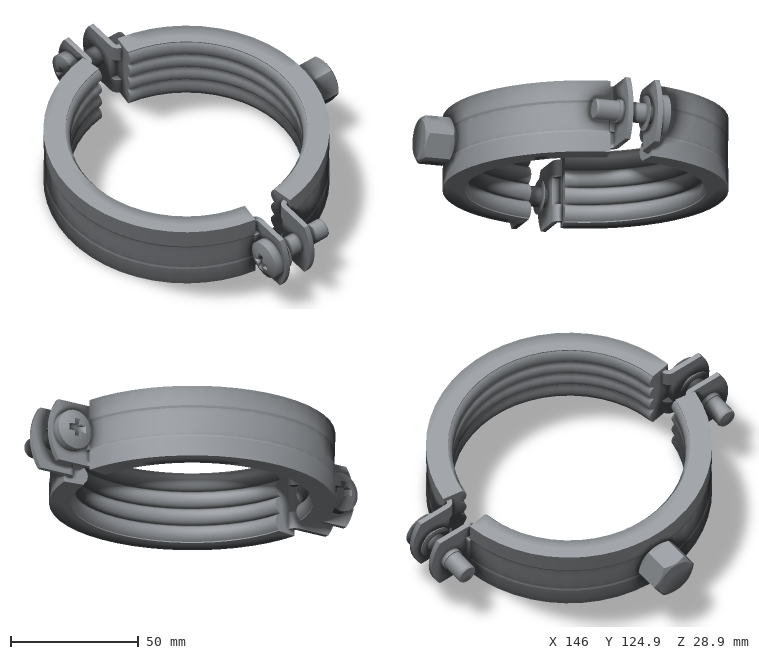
import cadquery as cq
import math


ring_width = 28.9
ring_outer_radius = 56.0
lip_step = 0.3
band_half_width = 5.5
band_edge_half_width = 6.4
rib_count = 4
rib_tip_radius = 45.7
rib_valley_radius = 48.2
ring_edge_radius = 47.5
rib_pitch = 7.0
ring_end_angle = 8.8

ear_gap = 10.1
ear_thickness = 2.0
ear_width = 25.0
ear_reach = 73.0
ear_tip_radius = 21.8
bend_center_x = 55.3
bend_radius = 3.4
strap_tail = 1.5

bead_width = 12.8
bead_outer_x = 56.2
bead_height = 2.0
bead_wall = 1.2
bead_recess_width = 11.1

screw_x = 64.0
screw_diameter = 8.0
screw_end_y = 18.2
screw_tip_diameter = 7.5
screw_tip_length = 0.7
head_diameter = 15.8
head_side_height = 3.8
head_height = 6.0
collar_diameter = 9.0
collar_height = 1.8
ear_hole_diameter = 8.6
washer_diameter = 14.0
washer_thickness = 0.3
washer_y = -2.6

recess_length = 9.0
recess_floor = 3.8
recess_corner_chamfer = 0.6
recess_arm_width = 2.8
recess_depth = 2.6

nut_across_flats = 17.1
nut_end_y = 68.9
nut_base_y = 56.5
nut_face_diameter = 15.9
nut_chamfer_height = 1.3
neck_diameter = 12.8

ear_inner_y = ear_gap / 2
ear_outer_y = ear_inner_y + ear_thickness
bend_center_y = ear_inner_y + bend_radius
ring_half_width = ring_width / 2


def cylinder_y(x, y_start, y_end, diameter):
    """Cylinder along Y, centred on Z = 0."""
    length = y_end - y_start
    start = cq.Vector(x, y_start, 0)
    return cq.Workplane(cq.Solid.makeCylinder(diameter / 2, length, start, cq.Vector(0, 1, 0)))


def ring_half():
    """Ribbed ring section revolved over the +Y half, short of the XZ plane at both ends."""
    band_radius = ring_outer_radius - lip_step
    rib_edge = rib_count * rib_pitch / 2
    profile = (
        cq.Workplane("XZ")
        .moveTo(ring_edge_radius, ring_half_width)
        .lineTo(ring_outer_radius, ring_half_width)
        .lineTo(ring_outer_radius, band_edge_half_width)
        .lineTo(band_radius, band_half_width)
        .lineTo(band_radius, -band_half_width)
        .lineTo(ring_outer_radius, -band_edge_half_width)
        .lineTo(ring_outer_radius, -ring_half_width)
        .lineTo(ring_edge_radius, -ring_half_width)
        .lineTo(ring_edge_radius, -rib_edge)
    )
    for index in range(rib_count):
        rib_start = -rib_edge + index * rib_pitch
        is_last_rib = index == rib_count - 1
        end_radius = ring_edge_radius if is_last_rib else rib_valley_radius
        profile = profile.threePointArc(
            (rib_tip_radius, rib_start + rib_pitch / 2),
            (end_radius, rib_start + rib_pitch),
        )
    sweep_angle = 180 - 2 * ring_end_angle
    half = profile.close().revolve(sweep_angle, (0, 0, 0), (0, 1, 0))
    return half.rotate((0, 0, 0), (0, 0, 1), ring_end_angle)


def ear():
    """Ear on the +X, +Y side: flat tab, rounded bend and a tail that enters the ring."""
    inner_bend_radius = bend_radius - ear_thickness
    tail_end_y = bend_center_y + strap_tail
    diagonal = math.sqrt(0.5)
    strap = (
        cq.Workplane("XY")
        .workplane(offset=-ear_width / 2)
        .moveTo(ear_reach, ear_inner_y)
        .lineTo(ear_reach, ear_outer_y)
        .lineTo(bend_center_x, ear_outer_y)
        .threePointArc(
            (bend_center_x - inner_bend_radius * diagonal, bend_center_y - inner_bend_radius * diagonal),
            (bend_center_x - inner_bend_radius, bend_center_y),
        )
        .lineTo(bend_center_x - inner_bend_radius, tail_end_y)
        .lineTo(bend_center_x - bend_radius, tail_end_y)
        .lineTo(bend_center_x - bend_radius, bend_center_y)
        .threePointArc(
            (bend_center_x - bend_radius * diagonal, bend_center_y - bend_radius * diagonal),
            (bend_center_x, ear_inner_y),
        )
        .close()
        .extrude(ear_width)
    )
    tip = cylinder_y(ear_reach - ear_tip_radius, 0, tail_end_y, 2 * ear_tip_radius)
    strap = strap.intersect(tip)

    bead_inner_x = bend_center_x - inner_bend_radius
    bead = cq.Workplane("XY").box(
        bead_outer_x - bead_inner_x, bead_height, bead_width, centered=(False, False, True)
    ).translate((bead_inner_x, ear_outer_y, 0))

    recess_length_x = 2 * bend_radius
    recess_length_y = ear_thickness + bead_height - bead_wall
    recess = cq.Workplane("XY").box(
        recess_length_x, recess_length_y, bead_recess_width, centered=(False, False, True)
    ).translate((bead_outer_x - bead_wall - recess_length_x, ear_inner_y, 0))
    return strap.union(bead).cut(recess)


def head_recess():
    """Cross recess with sloping arm ends around a chamfered square core."""
    top_y = -ear_outer_y - head_height
    floor_y = top_y + recess_depth
    arm = (
        cq.Workplane("XY")
        .workplane(offset=-recess_arm_width / 2)
        .polyline([
            (-recess_length / 2, top_y),
            (recess_length / 2, top_y),
            (recess_floor / 2, floor_y),
            (-recess_floor / 2, floor_y),
        ])
        .close()
        .extrude(recess_arm_width)
    )
    core = (
        cq.Workplane("XY")
        .box(recess_floor, recess_depth, recess_floor)
        .edges("|Y")
        .chamfer(recess_corner_chamfer)
        .translate((0, top_y + recess_depth / 2, 0))
    )
    crossing_arm = arm.rotate((0, 0, 0), (0, 1, 0), 90)
    return arm.union(crossing_arm).union(core)


def screw():
    """Pan-head screw along Y with its washer and threaded collar, centred on X = 0."""
    head_radius = head_diameter / 2
    rim_y = -ear_outer_y - head_side_height
    top_y = -ear_outer_y - head_height
    dome_height = head_height - head_side_height
    dome_radius = (head_radius**2 + dome_height**2) / (2 * dome_height)
    mid_radius = head_radius / 2
    mid_y = top_y + dome_radius - math.sqrt(dome_radius**2 - mid_radius**2)
    head = (
        cq.Workplane("XY")
        .moveTo(0, -ear_outer_y)
        .lineTo(head_radius, -ear_outer_y)
        .lineTo(head_radius, rim_y)
        .threePointArc((mid_radius, mid_y), (0, top_y))
        .close()
        .revolve(360, (0, 0, 0), (0, 1, 0))
        .cut(head_recess())
    )
    shank = cylinder_y(0, -ear_outer_y, screw_end_y, screw_diameter)
    shank = shank.faces(">Y").chamfer(screw_tip_length, (screw_diameter - screw_tip_diameter) / 2)
    washer = cylinder_y(
        0, washer_y - washer_thickness / 2, washer_y + washer_thickness / 2, washer_diameter
    )
    collar = cylinder_y(0, ear_outer_y, ear_outer_y + collar_height, collar_diameter)
    return shank.union(head).union(washer).union(collar)


def connection_nut():
    """Hexagon nut with corners toward +X and -X, chamfered at both ends, on a short neck."""
    nut_length = nut_end_y - nut_base_y
    across_corners = nut_across_flats / math.cos(math.radians(30))
    hexagon = (
        cq.Workplane("XZ", origin=(0, nut_end_y, 0))
        .polygon(6, across_corners)
        .extrude(nut_length)
    )
    chamfer_envelope = (
        cylinder_y(0, nut_base_y, nut_end_y, across_corners)
        .faces("<Y or >Y")
        .chamfer(nut_chamfer_height, (across_corners - nut_face_diameter) / 2)
    )
    neck_start_y = (ring_edge_radius + ring_outer_radius) / 2
    neck = cylinder_y(0, neck_start_y, nut_base_y, neck_diameter)
    return hexagon.intersect(chamfer_envelope).union(neck)


right_ear = ear()
ears = right_ear.union(right_ear.mirror("YZ"))
upper_half = ring_half().union(ears)
lower_half = upper_half.mirror("XZ")

result = upper_half.union(lower_half)
for x in (-screw_x, screw_x):
    ear_hole = cylinder_y(x, ear_inner_y, ear_outer_y, ear_hole_diameter)
    result = result.cut(ear_hole).union(screw().translate((x, 0, 0)))
result = result.union(connection_nut())